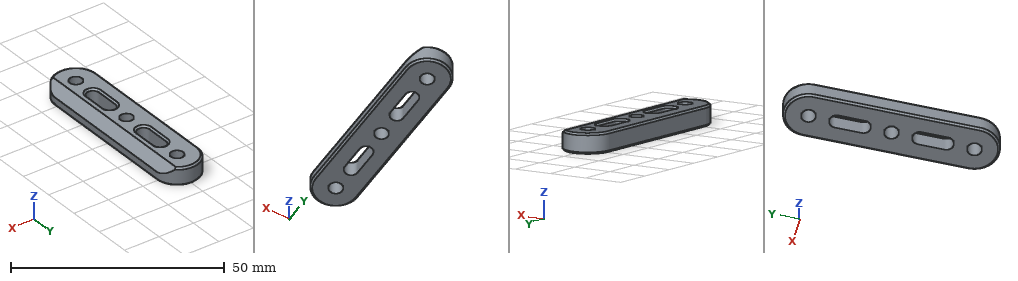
import cadquery as cq

WIDTH = 12.0
LENGTH = 52.0
THICKNESS = 5.0
EDGE_CHAMFER = 0.5

BEVEL = 2.5

OPENING_WIDTH = 3.5
HOLE_PITCH = (LENGTH - WIDTH) / 2
SLOT_LENGTH = 10.0
SLOT_CHAMFER = 0.5
MOUTH_TAPER = 45.0

HOLE_CENTRES = [(0, -HOLE_PITCH), (0, 0), (0, HOLE_PITCH)]
SLOT_CENTRES = [(0, -HOLE_PITCH / 2), (0, HOLE_PITCH / 2)]


def make_bar():
    """Round-ended bar with its top and bottom rims chamfered."""
    bar = cq.Workplane("XY").slot2D(LENGTH, WIDTH, 90).extrude(THICKNESS)
    return bar.faces("<Z or >Z").chamfer(EDGE_CHAMFER)


def make_bevel_cutter():
    """Triangular prism that removes the top +X corner along the whole bar."""
    corner = (WIDTH / 2, THICKNESS)
    return (
        cq.Workplane("XZ")
        .polyline([
            (corner[0] - BEVEL, corner[1]),
            corner,
            (corner[0], corner[1] - BEVEL),
        ])
        .close()
        .extrude(LENGTH / 2, both=True)
    )


def make_hole_cutters():
    """Plain round through holes."""
    return cq.Workplane("XY").pushPoints(HOLE_CENTRES).circle(OPENING_WIDTH / 2).extrude(THICKNESS)


def make_slot_cutter(centre):
    """Through slot that widens at 45 degrees to a chamfered mouth on the top face."""
    slot = (
        cq.Workplane("XY")
        .center(*centre)
        .slot2D(SLOT_LENGTH, OPENING_WIDTH, 90)
        .extrude(THICKNESS)
    )
    mouth = (
        cq.Workplane("XY", origin=(0, 0, THICKNESS))
        .center(*centre)
        .slot2D(SLOT_LENGTH + 2 * SLOT_CHAMFER, OPENING_WIDTH + 2 * SLOT_CHAMFER, 90)
        .extrude(-SLOT_CHAMFER, taper=MOUTH_TAPER)
    )
    return slot.union(mouth)


result = make_bar().cut(make_bevel_cutter()).cut(make_hole_cutters())
for slot_centre in SLOT_CENTRES:
    result = result.cut(make_slot_cutter(slot_centre))